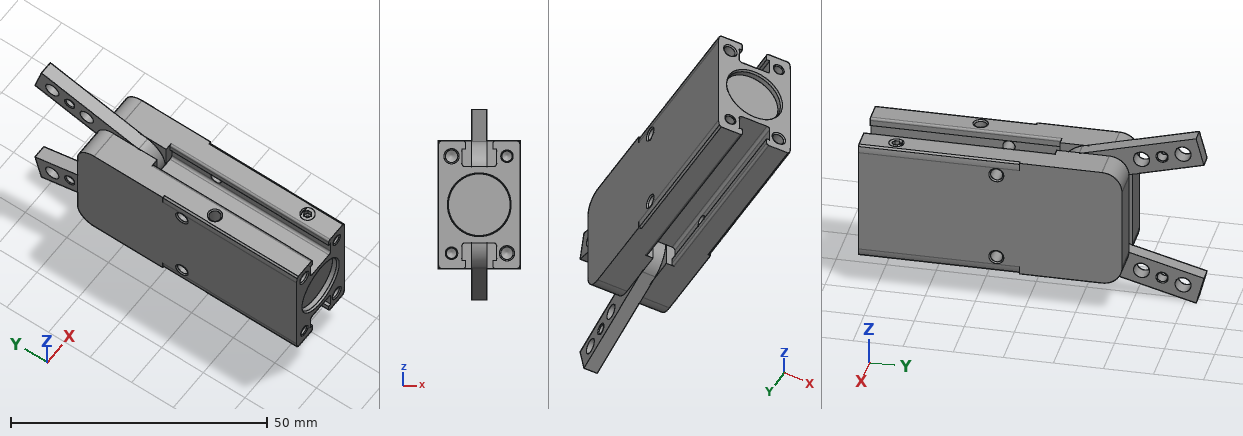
import cadquery as cq
import math


width = 16.0
height = 25.0
housing_length = 52.65
front_radius = 4.0
half_width = width / 2
half_height = height / 2

relief_length = 32.2
relief_drop = 1.6
relief_depth = 0.17
edge_chamfer_width = 0.4
edge_chamfer_height = 0.35

groove_length = 38.2
groove_depth = 5.1
groove_half_width = 3.4
lip_half_gap = 2.7
lip_thickness = 1.6
lip_radius = 0.5
floor_radius = 0.6

drill_half_angle = 59.0
large_drill = 2.4
large_mouth = 3.0
small_drill = 2.0
small_mouth = 2.4
rear_hole_x = 5.4
rear_hole_z = 9.45
rear_hole_depth = 4.7
side_hole_y = 27.6
side_hole_z = 9.25
top_hole_y = 21.5
top_hole_depth = 4.7

recess_diameter = 12.0
recess_depth = 1.5
recess_bevel_width = 0.2
recess_bevel_depth = 0.5

finger_thickness = 3.0
finger_height = 6.0
finger_flat_length = 24.2
finger_angle = 15.0
finger_heel_radius = 5.7
finger_reach = 67.6
finger_tip_z = 18.6
finger_hole = 3.2
finger_hole_places = (3.5, 12.1)
finger_thread_place = 7.85

screw_x = 5.4
screw_y = 7.0
screw_length = 4.0
screw_flat = 1.0
socket_across_flats = 1.5
socket_depth = 1.0
socket_pilot = 0.8


def chamfered_drill(drill, mouth, depth, origin, direction):
    """Blind drilled hole with a chamfered mouth and a cone-shaped bottom."""
    mouth_depth = (mouth - drill) / 2
    tip_depth = drill / 2 / math.tan(math.radians(drill_half_angle))
    profile = (
        cq.Workplane("XZ")
        .lineTo(mouth / 2, 0)
        .lineTo(drill / 2, mouth_depth)
        .lineTo(drill / 2, depth)
        .lineTo(0, depth + tip_depth)
        .close()
        .revolve(360, (0, 0, 0), (0, 1, 0))
    )
    return profile.val().moved(cq.Location(cq.Plane(origin, normal=direction)))


def through_drill(drill, mouth, length, origin, direction):
    """Through hole of a given length with a chamfer at both ends."""
    mouth_depth = (mouth - drill) / 2
    profile = (
        cq.Workplane("XZ")
        .lineTo(mouth / 2, 0)
        .lineTo(drill / 2, mouth_depth)
        .lineTo(drill / 2, length - mouth_depth)
        .lineTo(mouth / 2, length)
        .lineTo(0, length)
        .close()
        .revolve(360, (0, 0, 0), (0, 1, 0))
    )
    return profile.val().moved(cq.Location(cq.Plane(origin, normal=direction)))


def section_plane():
    """Plane of the rear face: local x is X, local y is Z, extrusion runs along +Y."""
    return cq.Workplane(cq.Plane((0, 0, 0), xDir=(1, 0, 0), normal=(0, -1, 0)))


def four_corners(cutter):
    """A cutter and its mirror images about the two mid planes."""
    pair = [cutter, cutter.mirror("YZ")]
    return pair + [shape.mirror("XY") for shape in pair]


def relief_cutter():
    """Sliver removed from one long edge: a shallow round flank and a chamfer."""
    flank_z = half_height - relief_drop
    chamfer_z = half_height - edge_chamfer_height
    chamfer_x = half_width - relief_depth
    flank_height = chamfer_z - flank_z
    flank_radius = (flank_height**2 + relief_depth**2) / (2 * relief_depth)
    return (
        section_plane()
        .moveTo(half_width, flank_z)
        .radiusArc((chamfer_x, chamfer_z), -flank_radius)
        .lineTo(chamfer_x - edge_chamfer_width, half_height)
        .lineTo(half_width, half_height)
        .close()
        .extrude(-relief_length)
        .val()
    )


def groove_cutter():
    """T-shaped groove of the top face with rounded lips and floor corners."""
    floor_z = half_height - groove_depth
    lip_z = half_height - lip_thickness
    lip_round_z = half_height - lip_radius
    mouth_half = lip_half_gap + lip_radius
    floor_half = groove_half_width - floor_radius
    floor_round_z = floor_z + floor_radius
    return (
        section_plane()
        .moveTo(-mouth_half, half_height)
        .radiusArc((-lip_half_gap, lip_round_z), lip_radius)
        .lineTo(-lip_half_gap, lip_z)
        .lineTo(-groove_half_width, lip_z)
        .lineTo(-groove_half_width, floor_round_z)
        .radiusArc((-floor_half, floor_z), -floor_radius)
        .lineTo(floor_half, floor_z)
        .radiusArc((groove_half_width, floor_round_z), -floor_radius)
        .lineTo(groove_half_width, lip_z)
        .lineTo(lip_half_gap, lip_z)
        .lineTo(lip_half_gap, lip_round_z)
        .radiusArc((mouth_half, half_height), lip_radius)
        .close()
        .extrude(-groove_length)
        .val()
    )


def housing_holes():
    """Drilled holes of the rear, side and top faces."""
    rear = (0, 1, 0)
    down = (0, 0, -1)
    holes = []
    for side in (1, -1):
        large_place = (-side * rear_hole_x, 0, side * rear_hole_z)
        small_place = (side * rear_hole_x, 0, side * rear_hole_z)
        holes.append(chamfered_drill(large_drill, large_mouth, rear_hole_depth, large_place, rear))
        holes.append(chamfered_drill(small_drill, small_mouth, rear_hole_depth, small_place, rear))
        side_place = (-half_width, side_hole_y, side * side_hole_z)
        holes.append(through_drill(large_drill, large_mouth, width, side_place, (1, 0, 0)))
    top_place = (-rear_hole_x, top_hole_y, half_height)
    holes.append(chamfered_drill(large_drill, large_mouth, top_hole_depth, top_place, down))
    return holes


def recess_cutter():
    """Shallow round recess of the rear face with a bevelled rim."""
    bore_radius = recess_diameter / 2
    return (
        cq.Workplane("XY")
        .lineTo(bore_radius + recess_bevel_width, 0)
        .lineTo(bore_radius, recess_bevel_depth)
        .lineTo(bore_radius, recess_depth)
        .lineTo(0, recess_depth)
        .close()
        .revolve(360, (0, 0, 0), (0, 1, 0))
        .val()
    )


def screw_blank():
    """Filled shape of the set-screw hole."""
    drill = chamfered_drill(
        large_drill, large_mouth, screw_length, (screw_x, screw_y, half_height), (0, 0, -1)
    )
    return cq.Workplane(obj=drill)


def make_housing():
    housing = (
        cq.Workplane("XY")
        .box(width, housing_length, height, centered=(True, False, True))
        .edges("|X and >Y")
        .fillet(front_radius)
    )
    finger_slot_length = housing_length - groove_length
    finger_slot = cq.Workplane("XY", origin=(0, groove_length, 0)).box(
        finger_thickness, finger_slot_length, height, centered=(True, False, True)
    )
    groove = groove_cutter()
    cutters = four_corners(relief_cutter()) + housing_holes()
    cutters += [groove, groove.mirror("XY"), recess_cutter()]
    housing = housing.cut(finger_slot).cut(screw_blank())
    for cutter in cutters:
        housing = housing.cut(cq.Workplane(obj=cutter))
    return housing


def make_upper_finger():
    """Flat bar with a round heel, drawn along +Y and then tilted upwards at its tip."""
    heel_end = -finger_flat_length - finger_heel_radius
    half_thickness = finger_thickness / 2
    bar = (
        cq.Workplane("YZ", origin=(-half_thickness, 0, 0))
        .lineTo(0, -finger_height)
        .lineTo(heel_end, -finger_height)
        .lineTo(heel_end, -finger_heel_radius)
        .radiusArc((-finger_flat_length, 0), finger_heel_radius)
        .close()
        .extrude(finger_thickness)
    )
    middle_z = -finger_height / 2
    for place in finger_hole_places:
        hole = (
            cq.Workplane("YZ", origin=(-half_thickness, -place, middle_z))
            .circle(finger_hole / 2)
            .extrude(finger_thickness)
        )
        bar = bar.cut(hole)
    thread_place = (-half_thickness, -finger_thread_place, middle_z)
    thread = through_drill(small_drill, small_mouth, finger_thickness, thread_place, (1, 0, 0))
    bar = bar.cut(cq.Workplane(obj=thread))
    tilt = math.radians(finger_angle)
    tip_y = finger_reach - finger_height * math.sin(tilt)
    return bar.rotate((0, 0, 0), (1, 0, 0), finger_angle).translate((0, tip_y, finger_tip_z))


def make_screw():
    """Headless set screw with one flat side and a hexagon socket."""
    place = (screw_x, screw_y, half_height)
    flat_cutter = cq.Workplane("XY", origin=(screw_x, screw_y + screw_flat, 0)).box(
        large_mouth, large_mouth, height, centered=(True, False, True)
    )
    socket = (
        cq.Workplane("XY", origin=place)
        .transformed(rotate=(0, 0, 90))
        .polygon(6, socket_across_flats / math.cos(math.pi / 6))
        .extrude(-socket_depth)
    )
    pilot_place = (screw_x, screw_y, half_height - socket_depth)
    pilot = chamfered_drill(
        socket_pilot, socket_across_flats, socket_pilot, pilot_place, (0, 0, -1)
    )
    return screw_blank().cut(flat_cutter).cut(socket).cut(cq.Workplane(obj=pilot))


housing = make_housing()
upper_finger = make_upper_finger()
fingers = [upper_finger, upper_finger.mirror("XY")]
screw = make_screw()

result = cq.Compound.makeCompound(
    [housing.val(), *[finger.val() for finger in fingers], screw.val()]
)